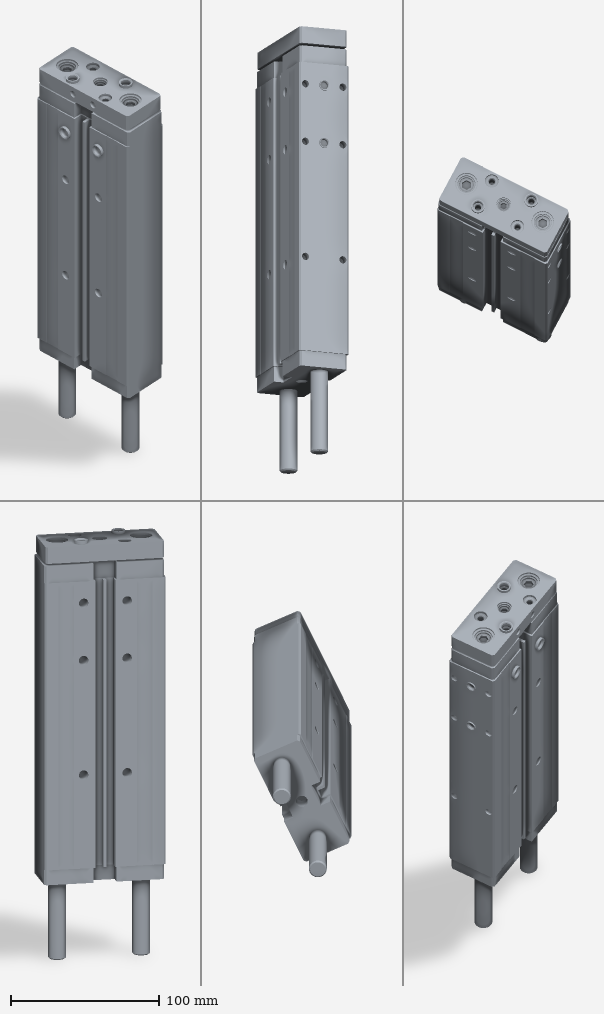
import cadquery as cq
import math

TOTAL_HEIGHT = 293.8
BOTTOM_COVER_Z = 56.0
HOUSING_Z = 66.7
HOUSING_LENGTH = 200.0
COVER_TOP_GAP = 1.8
PLATE_THICKNESS = 11.5
SLEEVE_STANDOUT = 2.0
BOTTOM_COVER_HEIGHT = HOUSING_Z - BOTTOM_COVER_Z
TOP_COVER_Z = HOUSING_Z + HOUSING_LENGTH
PLATE_TOP = TOTAL_HEIGHT - SLEEVE_STANDOUT
PLATE_Z = PLATE_TOP - PLATE_THICKNESS
TOP_COVER_HEIGHT = PLATE_Z - COVER_TOP_GAP - TOP_COVER_Z

HOUSING_WIDTH = 83.5
HOUSING_DEPTH = 35.8
HOUSING_CHAMFER = 1.2
COVER_INSET = 1.0
COVER_WIDTH = HOUSING_WIDTH - COVER_INSET
PLATE_WIDTH = HOUSING_WIDTH - 2 * COVER_INSET
COVER_DEPTH = HOUSING_DEPTH - 2 * COVER_INSET
CORNER_CHAMFER = 1.5

CENTER_GROOVE_WIDTH = 13.5
CENTER_GROOVE_DEPTH = 6.8
RIB_WIDTH = 2.0
RIB_RECESS = 1.5
COVER_GROOVE_WIDTH = 16.0
SIDE_GROOVE_WIDTH = 10.5
SIDE_GROOVE_DEPTH = 0.3
SIDE_GROOVE_X = 27.0

ROD_CENTER_X = 0.3
GUIDE_ROD_DIAMETER = 12.0
GUIDE_ROD_SPACING = 58.0
GUIDE_ROD_Y = -1.5
GUIDE_ROD_CHAMFER = 1.0
PISTON_DIAMETER = 8.0

GUIDE_RECESS_DIAMETERS = (15.0, 12.0, 10.0)
GUIDE_SOCKET_WIDTH = 6.0
PISTON_RECESS_DIAMETERS = (10.0, 8.5, 7.0)
PISTON_SOCKET_WIDTH = 4.0
RECESS_STEP = 1.2
SOCKET_DEPTH = 2.4

SLEEVE_DIAMETER = 9.0
SLEEVE_BORE = 6.5
SLEEVE_BORE_CHAMFER = 0.5
SLEEVE_SEAT_DEPTH = 1.8
PORT_SLEEVE_DIAMETER = 7.0
PORT_SLEEVE_BORE = 5.3
PORT_SLEEVE_STANDOUT = 1.0

HOLE_SPACING_X = 30.0
PLATE_HOLE_SPACING_Y = 20.3
PLATE_HOLE_Y = -1.0
PLATE_HOLE_DIAMETER = 4.0
PLATE_HOLE_MOUTH_DIAMETER = 5.3
PLATE_SIDE_HOLE_SPACING = 18.2
THROUGH_HOLE_DIAMETER = 6.5
SIDE_HOLE_DIAMETER = 5.0
SIDE_HOLE_DEPTH = 6.0
SIDE_HOLE_SPACING_Y = 27.0
DRILL_TIP_ANGLE = 118.0
SLEEVE_ROW_Z = 251.8
ROW_SPACING = 40.0
SECOND_ROW_Z = SLEEVE_ROW_Z - ROW_SPACING
THIRD_ROW_Z = SECOND_ROW_Z - 2 * ROW_SPACING

FRONT_Y = -HOUSING_DEPTH / 2
LEFT_X = -HOUSING_WIDTH / 2
HOLE_XS = (-HOLE_SPACING_X / 2, HOLE_SPACING_X / 2)
GUIDE_ROD_XS = (ROD_CENTER_X - GUIDE_ROD_SPACING / 2, ROD_CENTER_X + GUIDE_ROD_SPACING / 2)
DOWN = (0, 0, -1)
INTO_FRONT = (0, 1, 0)
INTO_LEFT = (1, 0, 0)


def cylinder(start, direction, diameter, length):
    solid = cq.Solid.makeCylinder(diameter / 2, length, cq.Vector(*start), cq.Vector(*direction))
    return cq.Workplane(solid)


def bevel(start, direction, wide_diameter, narrow_diameter):
    """45 degree cone that narrows from one diameter to the other."""
    height = (wide_diameter - narrow_diameter) / 2
    cone = cq.Solid.makeCone(
        wide_diameter / 2, narrow_diameter / 2, height, cq.Vector(*start), cq.Vector(*direction)
    )
    return cq.Workplane(cone)


def drilled_hole(start, direction, diameter, depth):
    """Blind hole with a conical drill tip."""
    radius = diameter / 2
    tip_height = radius / math.tan(math.radians(DRILL_TIP_ANGLE / 2))
    tip_start = cq.Vector(*start) + cq.Vector(*direction) * depth
    tip = cq.Solid.makeCone(radius, 0, tip_height, tip_start, cq.Vector(*direction))
    return cylinder(start, direction, diameter, depth).union(cq.Workplane(tip))


def block(width, depth, bottom, height, chamfer):
    """Upright block centred on the Z axis with chamfered vertical edges."""
    box = cq.Workplane().box(width, depth, height, centered=(True, True, False))
    return box.translate((0, 0, bottom)).edges("|Z").chamfer(chamfer)


def front_and_back_groove(x, width, depth, face_depth, bottom, height):
    """Vertical grooves of one width, cut into the front and the back of a block."""
    web = face_depth - 2 * depth
    groove = cq.Workplane().box(width, face_depth, height, centered=(True, True, False))
    core = cq.Workplane().box(width, web, height, centered=(True, True, False))
    return groove.cut(core).translate((x, 0, bottom))


def rod_bores(bottom, height):
    bores = cylinder((ROD_CENTER_X, 0, bottom), (0, 0, 1), PISTON_DIAMETER, height)
    for x in GUIDE_ROD_XS:
        bores = bores.union(cylinder((x, GUIDE_ROD_Y, bottom), (0, 0, 1), GUIDE_ROD_DIAMETER, height))
    return bores


def screw_recess(x, y, diameters, socket_width):
    """Stepped recess that narrows downwards and ends in a hexagon socket."""
    top = (x, y, PLATE_TOP)
    floor_depth = len(diameters) * RECESS_STEP
    corner_diameter = socket_width / math.cos(math.pi / 6)
    recess = (
        cq.Workplane(origin=(x, y, PLATE_TOP))
        .polygon(6, corner_diameter)
        .extrude(-floor_depth - SOCKET_DEPTH)
    )
    for step, diameter in enumerate(diameters, start=1):
        recess = recess.union(cylinder(top, DOWN, diameter, step * RECESS_STEP))
    return recess


def make_sleeve(seat, direction, diameter, bore, standout):
    """Hollow centring sleeve standing out of its face by `standout`, with a bevelled bore end."""
    start = cq.Vector(*seat) - cq.Vector(*direction) * standout
    length = SLEEVE_SEAT_DEPTH + standout
    outside = cylinder(start.toTuple(), direction, diameter, length)
    sleeve = outside.cut(cylinder(start.toTuple(), direction, bore, length))
    return sleeve.cut(bevel(start.toTuple(), direction, bore + 2 * SLEEVE_BORE_CHAMFER, bore))


def make_housing():
    housing = block(HOUSING_WIDTH, HOUSING_DEPTH, HOUSING_Z, HOUSING_LENGTH, HOUSING_CHAMFER)

    center_groove = front_and_back_groove(
        0, CENTER_GROOVE_WIDTH, CENTER_GROOVE_DEPTH, HOUSING_DEPTH, HOUSING_Z, HOUSING_LENGTH
    )
    rib = cq.Workplane().box(
        RIB_WIDTH, HOUSING_DEPTH - 2 * RIB_RECESS, HOUSING_LENGTH, centered=(True, True, False)
    )
    housing = housing.cut(center_groove.cut(rib.translate((0, 0, HOUSING_Z))))

    for x in (-SIDE_GROOVE_X, SIDE_GROOVE_X):
        housing = housing.cut(front_and_back_groove(
            x, SIDE_GROOVE_WIDTH, SIDE_GROOVE_DEPTH, HOUSING_DEPTH, HOUSING_Z, HOUSING_LENGTH
        ))

    housing = housing.cut(rod_bores(HOUSING_Z, HOUSING_LENGTH))

    for x in HOLE_XS:
        for z in (SLEEVE_ROW_Z, SECOND_ROW_Z, THIRD_ROW_Z):
            housing = housing.cut(
                cylinder((x, FRONT_Y, z), INTO_FRONT, THROUGH_HOLE_DIAMETER, HOUSING_DEPTH)
            )
        housing = housing.cut(
            cylinder((x, FRONT_Y, SLEEVE_ROW_Z), INTO_FRONT, SLEEVE_DIAMETER, SLEEVE_SEAT_DEPTH)
        )

    for z in (SLEEVE_ROW_Z, SECOND_ROW_Z, THIRD_ROW_Z):
        for y in (-SIDE_HOLE_SPACING_Y / 2, SIDE_HOLE_SPACING_Y / 2):
            housing = housing.cut(
                drilled_hole((LEFT_X, y, z), INTO_LEFT, SIDE_HOLE_DIAMETER, SIDE_HOLE_DEPTH)
            )
    for z in (SLEEVE_ROW_Z, SECOND_ROW_Z):
        housing = housing.cut(
            cylinder((LEFT_X, 0, z), INTO_LEFT, PORT_SLEEVE_DIAMETER, SLEEVE_SEAT_DEPTH)
        )
    return housing


def make_cover(bottom, height):
    """End cover with a central groove and bores for the rods."""
    cover = block(COVER_WIDTH, COVER_DEPTH, bottom, height, CORNER_CHAMFER)
    cover = cover.translate((COVER_INSET / 2, 0, 0))
    cover = cover.cut(front_and_back_groove(
        0, COVER_GROOVE_WIDTH, CENTER_GROOVE_DEPTH, COVER_DEPTH, bottom, height
    ))
    return cover.cut(rod_bores(bottom, height))


def make_slide():
    """Tool plate in one piece with its two guide rods and the piston rod."""
    slide = block(PLATE_WIDTH, COVER_DEPTH, PLATE_Z, PLATE_THICKNESS, CORNER_CHAMFER)
    for x in GUIDE_ROD_XS:
        rod = cylinder((x, GUIDE_ROD_Y, 0), (0, 0, 1), GUIDE_ROD_DIAMETER, PLATE_Z)
        slide = slide.union(rod.faces("<Z").chamfer(GUIDE_ROD_CHAMFER))
    piston_rod = cylinder((ROD_CENTER_X, 0, HOUSING_Z), (0, 0, 1), PISTON_DIAMETER, PLATE_Z - HOUSING_Z)
    slide = slide.union(piston_rod)

    for x in GUIDE_ROD_XS:
        slide = slide.cut(screw_recess(x, GUIDE_ROD_Y, GUIDE_RECESS_DIAMETERS, GUIDE_SOCKET_WIDTH))
    slide = slide.cut(screw_recess(ROD_CENTER_X, 0, PISTON_RECESS_DIAMETERS, PISTON_SOCKET_WIDTH))

    for x in HOLE_XS:
        for dy in (-PLATE_HOLE_SPACING_Y / 2, PLATE_HOLE_SPACING_Y / 2):
            top = (x, PLATE_HOLE_Y + dy, PLATE_TOP)
            seat = cylinder(top, DOWN, SLEEVE_DIAMETER, SLEEVE_SEAT_DEPTH)
            hole = cylinder(top, DOWN, PLATE_HOLE_DIAMETER, PLATE_THICKNESS)
            mouth_start = (x, PLATE_HOLE_Y + dy, PLATE_TOP - SLEEVE_SEAT_DEPTH)
            mouth = bevel(mouth_start, DOWN, PLATE_HOLE_MOUTH_DIAMETER, PLATE_HOLE_DIAMETER)
            slide = slide.cut(seat).cut(hole).cut(mouth)

    for x in (-PLATE_SIDE_HOLE_SPACING / 2, PLATE_SIDE_HOLE_SPACING / 2):
        start = (x, -COVER_DEPTH / 2, PLATE_Z + PLATE_THICKNESS / 2)
        slide = slide.cut(drilled_hole(start, INTO_FRONT, SIDE_HOLE_DIAMETER, SIDE_HOLE_DEPTH))
    return slide


housing = make_housing()
bottom_cover = make_cover(BOTTOM_COVER_Z, BOTTOM_COVER_HEIGHT)
top_cover = make_cover(TOP_COVER_Z, TOP_COVER_HEIGHT)
slide = make_slide()

sleeves = []
for side in (-1, 1):
    x = side * HOLE_SPACING_X / 2
    plate_seat = (x, PLATE_HOLE_Y + side * PLATE_HOLE_SPACING_Y / 2, PLATE_TOP)
    front_seat = (x, FRONT_Y, SLEEVE_ROW_Z)
    for seat, direction in ((plate_seat, DOWN), (front_seat, INTO_FRONT)):
        sleeves.append(make_sleeve(seat, direction, SLEEVE_DIAMETER, SLEEVE_BORE, SLEEVE_STANDOUT))

port_sleeves = []
for z in (SLEEVE_ROW_Z, SECOND_ROW_Z):
    port_sleeves.append(make_sleeve(
        (LEFT_X, 0, z), INTO_LEFT, PORT_SLEEVE_DIAMETER, PORT_SLEEVE_BORE, PORT_SLEEVE_STANDOUT
    ))

result = cq.Compound.makeCompound([
    housing.val(),
    bottom_cover.val(),
    top_cover.val(),
    slide.val(),
    *[sleeve.val() for sleeve in sleeves],
    *[port_sleeve.val() for port_sleeve in port_sleeves],
])